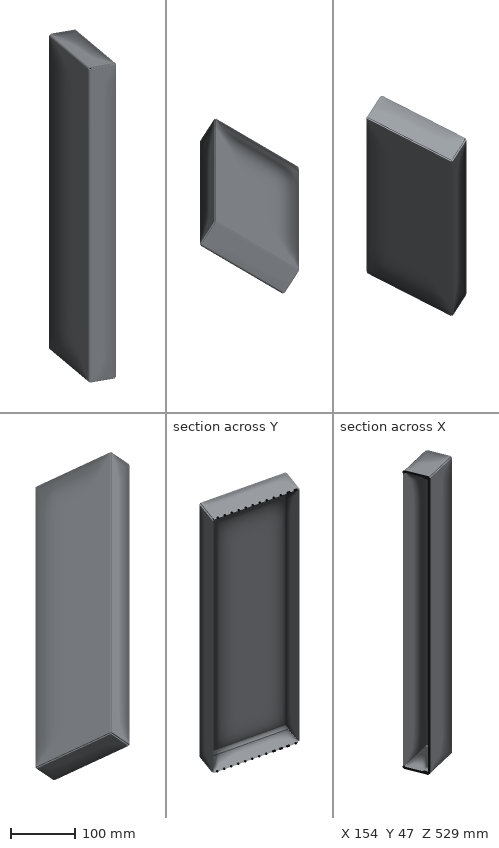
import cadquery as cq
import math

WIDTH = 154.0
DEPTH = 47.0
HEIGHT = 529.0

SHEET = 2.0
BEND_INNER_RADIUS = 2.0
BEND_RADIUS = BEND_INNER_RADIUS + SHEET
CORNER_GAP = 2.1
BEND_RELIEF = 3.2

COVER_EXPOSED = 1.8
COVER_LIP_DEPTH = 11.0

FRONT = -DEPTH / 2
BACK = DEPTH / 2
BEND_END = FRONT + BEND_RADIUS
WALL_END = BACK - COVER_EXPOSED


def front_plate():
    """Flat front sheet, up to where the four bends start."""
    plate = cq.Workplane("XY").box(WIDTH - 2 * BEND_RADIUS, SHEET, HEIGHT - 2 * BEND_RADIUS)
    return plate.translate((0, FRONT + SHEET / 2, 0))


def bend(span, length):
    """Quarter-round bend joining the front sheet to the wall at +span/2, running along Z."""
    outer = span / 2
    inner = outer - SHEET
    center = outer - BEND_RADIUS
    outer_diagonal = BEND_RADIUS * math.sqrt(0.5)
    inner_diagonal = BEND_INNER_RADIUS * math.sqrt(0.5)
    return (
        cq.Workplane("XY")
        .moveTo(center, FRONT)
        .threePointArc((center + outer_diagonal, BEND_END - outer_diagonal), (outer, BEND_END))
        .lineTo(inner, BEND_END)
        .threePointArc((center + inner_diagonal, BEND_END - inner_diagonal), (center, FRONT + SHEET))
        .close()
        .extrude(length / 2, both=True)
    )


def wall(span, length):
    """Flat wall at +span/2 with its bend, running along Z."""
    wall_depth = WALL_END - BEND_END
    flat = cq.Workplane("XY").box(SHEET, wall_depth, length - 2 * CORNER_GAP)
    flat = flat.translate((span / 2 - SHEET / 2, BEND_END + wall_depth / 2, 0))
    return flat.union(bend(span, length - 2 * BEND_RELIEF))


def back_cover():
    """Channel closing the back, its top and bottom lips lying against the tray walls."""
    cover_width = WIDTH - 2 * SHEET
    cover_height = HEIGHT - 2 * SHEET
    inner_depth = COVER_LIP_DEPTH - SHEET
    block = cq.Workplane("XY").box(cover_width, COVER_LIP_DEPTH, cover_height)
    block = block.translate((0, BACK - COVER_LIP_DEPTH / 2, 0))
    hollow = cq.Workplane("XY").box(cover_width, inner_depth, cover_height - 2 * SHEET)
    return block.cut(hollow.translate((0, BACK - COVER_LIP_DEPTH + inner_depth / 2, 0)))


right_wall = wall(WIDTH, HEIGHT)
top_wall = wall(HEIGHT, WIDTH).rotate((0, 0, 0), (0, 1, 0), -90)

result = front_plate().union(back_cover())
for tray_wall in (right_wall, right_wall.mirror("YZ"), top_wall, top_wall.mirror("XY")):
    result = result.union(tray_wall)